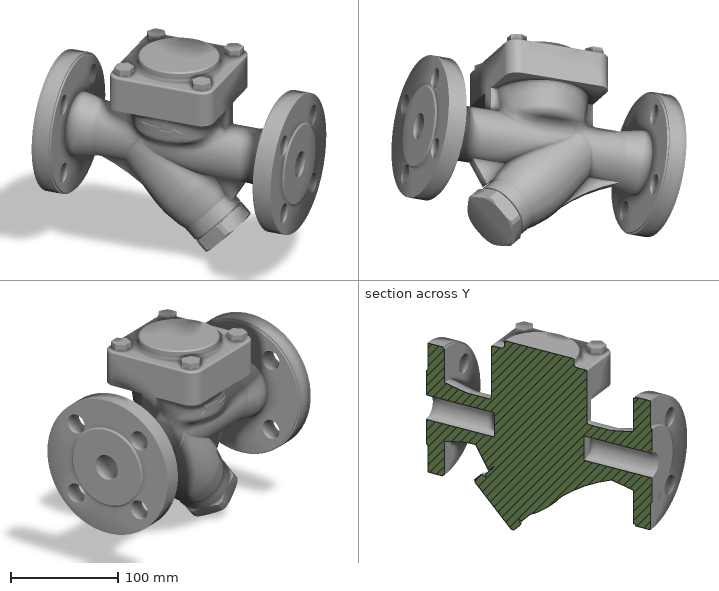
import cadquery as cq
import math

length = 245.0
tube_radius = 26.0
neck_radius = 30.9
neck_start = 77.7

flange_diameter = 135.0
flange_thickness = 18.9
flange_step = 1.7
raised_face_diameter = 76.0
raised_face_base_diameter = 79.5
raised_face_height = 1.5
flange_hole_diameter = 19.0
flange_hole_pitch = 70.5
bore_diameter = 25.0
bore_depth = 73.5

bonnet_side = 104.0
bonnet_corner_radius = 12.0
bonnet_bottom = 47.8
cover_top = 82.0
cover_edge_radius = 2.0
cap_diameter = 76.0
cap_top = 90.6
cap_chamfer = 1.2
cap_root_radius = 3.0
bolt_pitch = 78.5
bolt_corners = 18.9
bolt_head_height = 6.5

bowl_top_radius = 46.5
bowl_band_radius = 44.5
bowl_band_top = 36.0
bowl_floor_radius = 41.6
bowl_floor = 16.5
bowl_edge_radius = 8.0
bowl_root_radius = 7.4

arrow_height = 30.1
arrow_tail = -20.0
arrow_notch = -17.0
arrow_neck = 0.0
arrow_head = 11.5
arrow_tip = 19.8
arrow_half_width = 5.1
arrow_shaft_half_width = 2.0
arrow_relief = 1.0

rib_width = 14.2
rib_root_radius = 2.5

branch_x = -34.5
branch_angle = 45.0
branch_root = -1.7
branch_root_radius = 27.2
branch_belly_radius = 32.5
branch_belly_start = 45.3
branch_belly_end = 68.5
collar_radius = 28.0
collar_start = 90.6
collar_end = 104.4
nut_neck_radius = 25.7
nut_start = 105.5
nut_end = 119.8
nut_corner_diameter = 60.0
nut_flats = 54.1
nut_chamfer_radial = 2.5
nut_chamfer_axial = 1.5

web_thickness = 9.8
inlet_web_start = (-78.5, -tube_radius)
inlet_web_middle = (-45.5, -41.6)
inlet_web_end = (-13.0, -66.6)
outlet_web_top = (69.0, -tube_radius)
outlet_web_bottom = (55.1, -49.0)

edge_margin = 0.2

slope = math.radians(branch_angle)
branch_axis = cq.Vector(math.cos(slope), 0, -math.sin(slope))
branch_plane = cq.Plane(origin=(branch_x, 0, 0), xDir=branch_axis, normal=(0, -1, 0))


def make_run():
    """Tube, necks, flanges and raised faces as one turned piece."""
    face = length / 2
    front = face - raised_face_height
    back = front - flange_thickness
    flange_radius = flange_diameter / 2
    half = [
        (neck_start, tube_radius),
        (back, neck_radius),
        (back, flange_radius - flange_step),
        (back + flange_step, flange_radius - flange_step),
        (back + flange_step, flange_radius),
        (front, flange_radius),
        (front, raised_face_base_diameter / 2),
        (face, raised_face_diameter / 2),
        (face, 0),
    ]
    mirrored = [(-x, radius) for x, radius in reversed(half)]
    outline = cq.Workplane("XY").polyline(mirrored + half).close()
    return outline.revolve(360, (0, 0, 0), (1, 0, 0))


def make_bowl(growth=0.0):
    """Turned bowl with a rounded lower edge; growth thickens its wall."""
    outline = [
        (0, bowl_floor),
        (bowl_floor_radius + growth, bowl_floor),
        (bowl_band_radius + growth, bowl_band_top),
        (bowl_top_radius + growth, bonnet_bottom),
        (0, bonnet_bottom),
    ]
    solid = cq.Workplane("XZ").polyline(outline).close().revolve(360, (0, 0, 0), (0, 1, 0))
    return solid.faces("<Z").edges().fillet(bowl_edge_radius)


def join_bowl(run):
    """Add the bowl and round the seam where it sinks into the tube."""
    joined = run.union(make_bowl())

    def is_seam(edge):
        box = edge.BoundingBox()
        in_bowl = box.xmax < bowl_top_radius and box.xmin > -bowl_top_radius
        on_tube = max(-box.ymin, box.ymax) < tube_radius
        low = bowl_floor - edge_margin < box.zmin and box.zmax < bowl_band_top - edge_margin
        return in_bowl and on_tube and low

    seam = [edge for edge in joined.edges().vals() if is_seam(edge)]
    return joined.newObject(seam).fillet(bowl_root_radius)


def make_arrow():
    """Flow arrow pointing to +X, following the curve of the bowl wall."""
    upper = [
        (arrow_tail, arrow_half_width),
        (arrow_neck - arrow_shaft_half_width, arrow_half_width),
        (arrow_neck, arrow_shaft_half_width),
        (arrow_head, arrow_shaft_half_width),
        (arrow_head, arrow_half_width),
    ]
    lower = [(x, -z) for x, z in reversed(upper)]
    outline = upper + [(arrow_tip, 0)] + lower + [(arrow_notch, 0)]
    bar = (
        cq.Workplane("XZ", origin=(0, 0, arrow_height))
        .polyline(outline)
        .close()
        .extrude(bonnet_side / 2)
    )
    return bar.intersect(make_bowl(arrow_relief)).cut(make_bowl(-arrow_relief))


def make_bonnet():
    """Square block with a round cap and four hexagon bolt heads."""
    block = cq.Workplane("XY", origin=(0, 0, bonnet_bottom)).rect(bonnet_side, bonnet_side)
    block = block.extrude(cover_top - bonnet_bottom).edges("|Z").fillet(bonnet_corner_radius)
    block = block.faces(">Z").edges().fillet(cover_edge_radius)
    cap_radius = cap_diameter / 2
    cap = (
        cq.Workplane("XZ")
        .moveTo(0, bonnet_bottom)
        .lineTo(cap_radius + cap_root_radius, bonnet_bottom)
        .lineTo(cap_radius + cap_root_radius, cover_top)
        .radiusArc((cap_radius, cover_top + cap_root_radius), cap_root_radius)
        .lineTo(cap_radius, cap_top - cap_chamfer)
        .lineTo(cap_radius - cap_chamfer, cap_top)
        .lineTo(0, cap_top)
        .close()
        .revolve(360, (0, 0, 0), (0, 1, 0))
    )
    bonnet = block.union(cap)
    bolt = (
        cq.Workplane("XY", origin=(-bolt_pitch / 2, bolt_pitch / 2, cover_top))
        .polygon(6, bolt_corners)
        .extrude(bolt_head_height)
    )
    for quarter in range(4):
        bonnet = bonnet.union(bolt.rotate((0, 0, 0), (0, 0, 1), 90 * quarter))
    return bonnet


def join_ribs(body):
    """Add the upright ribs and round their seams with the tube and the bowl."""
    outer = bonnet_side / 2
    ribs = cq.Workplane("XY").box(bonnet_side, rib_width, bonnet_bottom, centered=(True, True, False))
    joined = body.union(ribs)

    def is_foot(edge):
        box = edge.BoundingBox()
        beside_rib = max(-box.ymin, box.ymax) < rib_width / 2 + edge_margin
        at_outer_end = max(-box.xmin, box.xmax) > outer - edge_margin
        return beside_rib and at_outer_end and box.zmax < tube_radius + edge_margin

    foot = [edge for edge in joined.edges().vals() if is_foot(edge)]
    return joined.newObject(foot).fillet(rib_root_radius)


def make_branch():
    """Bulged strainer branch ending in a plain collar, with the neck that carries the nut."""
    return (
        cq.Workplane(branch_plane)
        .moveTo(branch_root, 0)
        .lineTo(branch_root, branch_root_radius)
        .spline(
            [
                (branch_belly_start, branch_belly_radius),
                (branch_belly_end, branch_belly_radius),
                (collar_start, collar_radius),
            ],
            includeCurrent=True,
        )
        .lineTo(collar_end, collar_radius)
        .lineTo(collar_end, nut_neck_radius)
        .lineTo(nut_end, nut_neck_radius)
        .lineTo(nut_end, 0)
        .close()
        .revolve(360, (0, 0, 0), (1, 0, 0))
    )


def make_nut():
    """Hexagon strainer plug with turned corners and chamfered ends."""
    base = cq.Vector(branch_x, 0, 0) + branch_axis * nut_start
    hexagon = (
        cq.Workplane(cq.Plane(origin=base, xDir=(0, 1, 0), normal=branch_axis))
        .polygon(6, nut_flats, circumscribed=True)
        .extrude(nut_end - nut_start)
    )
    corner = nut_corner_diameter / 2
    envelope = (
        cq.Workplane(branch_plane)
        .polyline(
            [
                (nut_start, 0),
                (nut_start, corner - nut_chamfer_radial),
                (nut_start + nut_chamfer_axial, corner),
                (nut_end - nut_chamfer_axial, corner),
                (nut_end, corner - nut_chamfer_radial),
                (nut_end, 0),
            ]
        )
        .close()
        .revolve(360, (0, 0, 0), (1, 0, 0))
    )
    return hexagon.intersect(envelope)


def make_webs():
    """Upright webs filling both corners between the tube and the branch."""
    inlet = (
        cq.Workplane("XZ")
        .moveTo(*inlet_web_start)
        .threePointArc(inlet_web_middle, inlet_web_end)
        .lineTo(branch_x, 0)
        .lineTo(inlet_web_start[0], 0)
        .close()
        .extrude(web_thickness / 2, both=True)
    )
    outlet = (
        cq.Workplane("XZ")
        .polyline([(0, 0), (outlet_web_top[0], 0), outlet_web_top, outlet_web_bottom])
        .close()
        .extrude(web_thickness / 2, both=True)
    )
    return inlet.union(outlet)


def cut_flange_holes(part):
    """Drill both flanges: four bolt holes and a blind bore from each face."""
    face = length / 2
    flange_back = face - raised_face_height - flange_thickness
    bolt_holes = (
        cq.Workplane("YZ", origin=(flange_back, 0, 0))
        .rect(flange_hole_pitch, flange_hole_pitch, forConstruction=True)
        .vertices()
        .circle(flange_hole_diameter / 2)
        .extrude(face - flange_back)
    )
    bore = (
        cq.Workplane("YZ", origin=(face - bore_depth, 0, 0))
        .circle(bore_diameter / 2)
        .extrude(bore_depth)
    )
    drills = bolt_holes.union(bore)
    return part.cut(drills).cut(drills.mirror("YZ"))


result = join_bowl(make_run())
result = join_ribs(result)
for feature in (make_arrow(), make_bonnet(), make_webs(), make_branch(), make_nut()):
    result = result.union(feature)
result = cut_flange_holes(result)